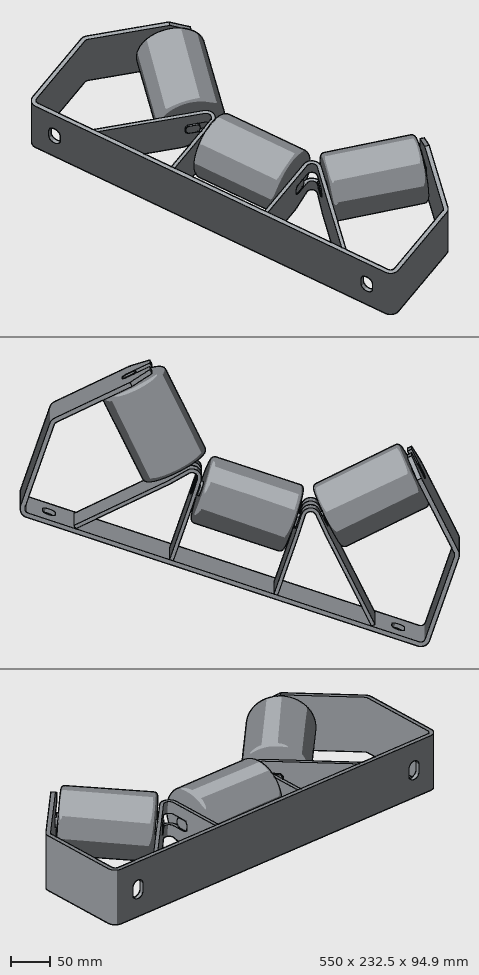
import cadquery as cq
import math

frame_length = 550.0
frame_height = 80.0
frame_thickness = 6.0
frame_bend_radius = 12.0
arm_corner_y = 132.0
arm_tip_y = 231.0
arm_corner_length = 28.0
arm_corner_depth = 16.5

mount_slot_x = 235.0
mount_slot_length = 27.0
mount_slot_width = 17.0

drum_radius = 44.5
drum_length = 124.0
drum_edge_radius = 5.5
axle_radius = 9.6
axle_flat_width = 14.5
axle_length = 144.0
shoulder_span = 130.0

axle_drop = 6.5
middle_roller_y = 99.0
side_roller_x = 146.0
side_roller_y = 159.5

bracket_thickness = 5.0
bracket_fold_radius = 12.0
middle_support = 67.5
side_support = 66.0
fold_height = 50.5
bevel_angle = 16.0

slot_width = 16.5
slot_corner_radius = 6.0
slot_end_clearance = 0.5

diagonal = math.sqrt(0.5)
mid_height = frame_height / 2
inner_axle_z = mid_height - axle_drop
bracket_top = inner_axle_z + fold_height / 2
fold_bottom = inner_axle_z - fold_height / 2

CUT_DEPTH = 16.5
CUT_REACH = 38.5

along_leg = cq.Vector(diagonal, diagonal, 0)
along_axle = cq.Vector(diagonal, -diagonal, 0)
left_roller_centre = cq.Vector(-side_roller_x, side_roller_y, 0)


def strip_plane(point, up_strip, normal):
    """Plane in the middle of a strip: local X runs up the strip and local Y is global Z."""
    return cq.Plane(origin=point, xDir=up_strip, normal=normal)


def centred_bar(plane, length):
    """Start of a bar that is centred on a plane: the same plane, half a length back."""
    return cq.Workplane(plane).workplane(offset=-length / 2)


def axle_slot(plane):
    """Cutter for an axle slot: its bottom has rounded corners, its other end runs out of the strip."""
    bottom = -axle_radius - slot_end_clearance
    outline = cq.Sketch().rect(CUT_REACH - bottom, slot_width).vertices().fillet(slot_corner_radius)
    slot = centred_bar(plane, CUT_DEPTH).center((CUT_REACH + bottom) / 2, 0)
    return slot.placeSketch(outline).extrude(CUT_DEPTH)


def mirrored(body):
    return body.mirror("YZ")


def frame_outline(offset):
    """Sharp-cornered outline from the left arm tip to the right one, set in by an offset."""
    half = frame_length / 2 - offset
    corner_y = arm_corner_y - offset * math.tan(math.radians(22.5))
    tip_y = arm_tip_y - offset * diagonal
    tip_x = half - (tip_y - corner_y)
    return [(-tip_x, tip_y), (-half, corner_y), (-half, offset),
            (half, offset), (half, corner_y), (tip_x, tip_y)]


def bend_edges(outline, body):
    """Upright edges of a body that stand on the four bend corners of an outline."""
    edges = []
    for x, y in outline[1:-1]:
        edges += body.edges(cq.selectors.NearestToPointSelector((x, y, mid_height))).vals()
    return edges


def arm_tip_corners(arm_plane, tip):
    """Cutters for the two slanted corners at the end of the left arm."""
    corner = [
        (tip, frame_height / 2),
        (tip - arm_corner_length, frame_height / 2),
        (tip, frame_height / 2 - arm_corner_depth),
    ]
    upper = centred_bar(arm_plane, CUT_DEPTH).polyline(corner).close().extrude(CUT_DEPTH)
    lower = upper.mirror("XY", (0, 0, mid_height))
    return upper.union(lower)


def make_frame():
    outer = frame_outline(0)
    inner = frame_outline(frame_thickness)
    body = cq.Workplane("XY").polyline(outer + inner[::-1]).close().extrude(frame_height)
    body = body.newObject(bend_edges(outer, body)).fillet(frame_bend_radius)
    body = body.newObject(bend_edges(inner, body)).fillet(frame_bend_radius - frame_thickness)

    arm_intercept = arm_corner_y + frame_length / 2 - frame_thickness / 2 / diagonal
    axis_sum = side_roller_y - side_roller_x
    axle_point = cq.Vector((axis_sum - arm_intercept) / 2, (axis_sum + arm_intercept) / 2, mid_height)
    arm_plane = strip_plane(axle_point, along_leg, along_axle)
    tip_y = arm_tip_y - frame_thickness / 2 * diagonal
    tip = (tip_y - axle_point.y) / diagonal

    arm_cuts = axle_slot(arm_plane).union(arm_tip_corners(arm_plane, tip))
    mount_slots = (
        cq.Workplane("XZ").pushPoints([(-mount_slot_x, mid_height), (mount_slot_x, mid_height)])
        .slot2D(mount_slot_length, mount_slot_width, 90).extrude(-CUT_DEPTH)
    )
    return body.cut(arm_cuts).cut(mirrored(arm_cuts)).cut(mount_slots)


def lower_bevel(plane, fold_end):
    """Cutter that narrows a strip from below: sloping along the leg and level at the fold."""
    run = fold_bottom / math.tan(math.radians(bevel_angle))
    low = -inner_axle_z
    high = low + fold_bottom
    outline = [
        (fold_end - run, low),
        (fold_end, high),
        (fold_end + CUT_REACH, high),
        (fold_end + CUT_REACH, low),
    ]
    return centred_bar(plane, CUT_DEPTH).polyline(outline).close().extrude(CUT_DEPTH)


def make_left_bracket():
    outer_r = bracket_fold_radius
    inner_r = outer_r - bracket_thickness
    mid_r = outer_r - bracket_thickness / 2

    leg_face = left_roller_centre + along_axle * side_support
    fold_x = -middle_support - outer_r
    fold_y = leg_face.y - leg_face.x + fold_x - outer_r / diagonal

    def on_fold(radius, angle):
        turn = math.radians(angle)
        return (fold_x + radius * math.cos(turn), fold_y + radius * math.sin(turn))

    inner_tangent = on_fold(inner_r, 135)
    foot_y = frame_thickness
    foot = (inner_tangent[0] - (inner_tangent[1] - foot_y), foot_y)
    foot_top = (foot[0] - bracket_thickness * diagonal, foot_y + bracket_thickness * diagonal)

    body = (
        cq.Workplane("XY")
        .moveTo(fold_x + outer_r, foot_y)
        .lineTo(*on_fold(outer_r, 0))
        .threePointArc(on_fold(outer_r, 67.5), on_fold(outer_r, 135))
        .lineTo(*foot_top)
        .lineTo(*foot)
        .lineTo(*inner_tangent)
        .threePointArc(on_fold(inner_r, 67.5), on_fold(inner_r, 0))
        .lineTo(fold_x + inner_r, foot_y)
        .close()
        .extrude(bracket_top)
    )

    upright_point = cq.Vector(fold_x + mid_r, middle_roller_y, inner_axle_z)
    upright = strip_plane(upright_point, cq.Vector(0, 1, 0), cq.Vector(1, 0, 0))
    sloping_point = leg_face + along_axle * (bracket_thickness / 2) + cq.Vector(0, 0, inner_axle_z)
    sloping = strip_plane(sloping_point, along_leg, along_axle)
    upright_fold = fold_y - middle_roller_y
    sloping_fold = (on_fold(mid_r, 135)[1] - sloping_point.y) / diagonal

    body = body.cut(axle_slot(upright)).cut(axle_slot(sloping))
    return body.cut(lower_bevel(upright, upright_fold)).cut(lower_bevel(sloping, sloping_fold))


def make_roller(plane):
    """Drum with rounded rims on an axle whose ends carry an upper and a lower flat."""
    drum = (
        centred_bar(plane, drum_length).circle(drum_radius).extrude(drum_length)
        .edges("%CIRCLE").fillet(drum_edge_radius)
    )
    shoulder = centred_bar(plane, shoulder_span).circle(axle_radius).extrude(shoulder_span)
    axle = centred_bar(plane, axle_length).circle(axle_radius).extrude(axle_length)
    flats = centred_bar(plane, axle_length).rect(2 * axle_radius, axle_flat_width).extrude(axle_length)
    return drum.union(shoulder).union(axle.intersect(flats))


def middle_roller_plane():
    centre = cq.Vector(0, middle_roller_y, inner_axle_z)
    return cq.Plane(origin=centre, xDir=cq.Vector(0, 1, 0), normal=cq.Vector(1, 0, 0))


def side_roller_plane(side):
    """Side rollers lean: the outer axle end sits at mid height, the inner end is lower."""
    strip_span = 2 * side_support + (frame_thickness + bracket_thickness) / 2
    centre = cq.Vector(side * side_roller_x, side_roller_y, mid_height - axle_drop / 2)
    inward = cq.Vector(-side * diagonal, -diagonal, -axle_drop / strip_span)
    across = cq.Vector(-side * diagonal, diagonal, 0)
    return cq.Plane(origin=centre, xDir=across, normal=inward)


frame = make_frame()
left_bracket = make_left_bracket()
brackets = [left_bracket, mirrored(left_bracket)]
roller_planes = [side_roller_plane(-1), middle_roller_plane(), side_roller_plane(1)]
rollers = [make_roller(plane) for plane in roller_planes]

result = cq.Compound.makeCompound([body.val() for body in [frame, *brackets, *rollers]])